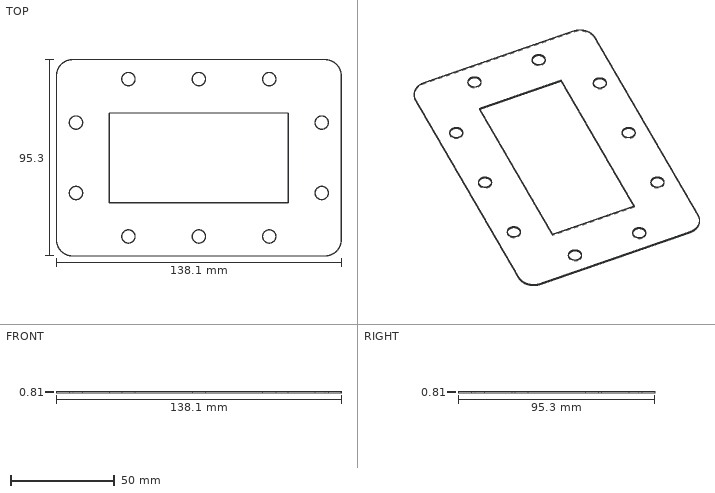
import cadquery as cq

length = 138.1
width = 95.3
thickness = 0.81
corner_radius = 8.0

window_length = 86.6
window_width = 43.4

hole_diameter = 6.4
hole_pitch = 34.1
edge_distance = 9.5
row_y = width / 2 - edge_distance
column_x = length / 2 - edge_distance

hole_centers = []
for side in (-1, 1):
    for step in (-1, 0, 1):
        hole_centers.append((step * hole_pitch, side * row_y))
    for step in (-0.5, 0.5):
        hole_centers.append((side * column_x, step * hole_pitch))

plate = (
    cq.Workplane("XY")
    .rect(length, width)
    .extrude(thickness)
    .edges("|Z")
    .fillet(corner_radius)
)

window = cq.Workplane("XY").rect(window_length, window_width).extrude(thickness)

bolt_holes = (
    cq.Workplane("XY")
    .pushPoints(hole_centers)
    .circle(hole_diameter / 2)
    .extrude(thickness)
)

result = plate.cut(window).cut(bolt_holes)